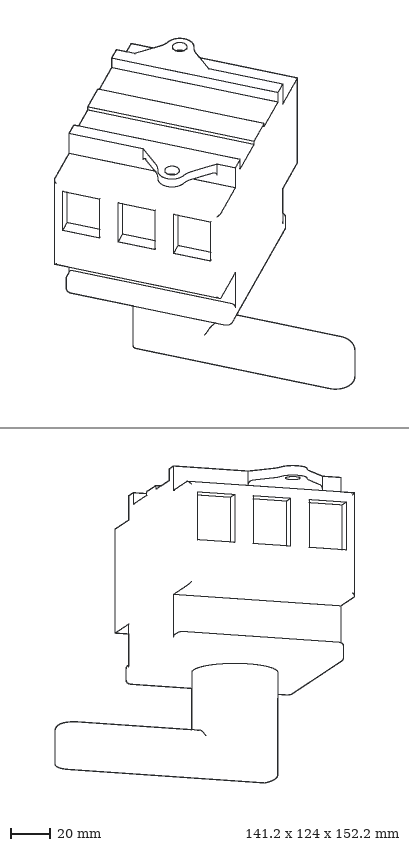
import cadquery as cq

TOTAL_HEIGHT = 152.2
TOTAL_DEPTH = 124.0
TOTAL_LENGTH = 141.2

HANDLE_HEIGHT = 54.8
HOUSING_TOP = TOTAL_HEIGHT - HANDLE_HEIGHT
HOUSING_WIDTH = 90.0
CORE_DEPTH = 74.9
WING_BOTTOM = 30.1
WING_TOP = 84.6
WING_FILLET = 2.0

PLATE_HEIGHT = 9.7
PLATE_CORNER_RADIUS = 3.5
PLATE_FILLET = 2.0

RAIL_HEIGHT = 6.1
RAIL_WIDTH = 7.6
CHANNEL_FLOOR = HOUSING_TOP - RAIL_HEIGHT
RIDGE_WIDTH = 16.0
RIDGE_HEIGHT = 2.0

WINDOW_COUNT = 3
WINDOW_PITCH = 30.0
WINDOW_WIDTH = 20.0
WINDOW_HEIGHT = 25.0
WINDOW_BOTTOM = 54.0
WINDOW_DEPTH = 7.0

LUG_X = 15.0
LUG_HOLE_Y = 50.0
LUG_HOLE_DIAMETER = 7.5
LUG_HEAD_RADIUS = 7.3
LUG_NECK_RADIUS = 10.0
LUG_THICKNESS = 5.0
LUG_ROOT_FILLET = 2.0

HUB_RADIUS = 22.0
SHOULDER_DROP = 15.5
SHOULDER_RADIUS = 8.0
HUB_FILLET = 2.0
GRIP_THICKNESS = 20.0
GRIP_HEIGHT = 21.9
GRIP_TOP_FILLET = 4.0
HANDLE_BOTTOM_FILLET = 1.5


def block(width, depth, bottom, top):
    """Box centred on the Z axis between two heights."""
    return cq.Workplane("XY").workplane(offset=bottom).rect(width, depth).extrude(top - bottom)


def make_housing():
    """Core with two rails and a low ridge on top, and a terminal wing on either side."""
    core = block(HOUSING_WIDTH, CORE_DEPTH, 0, HOUSING_TOP)
    channel = block(HOUSING_WIDTH, CORE_DEPTH - 2 * RAIL_WIDTH, CHANNEL_FLOOR, HOUSING_TOP)
    ridge = block(HOUSING_WIDTH, RIDGE_WIDTH, CHANNEL_FLOOR, CHANNEL_FLOOR + RIDGE_HEIGHT)
    wings = block(HOUSING_WIDTH, TOTAL_DEPTH, WING_BOTTOM, WING_TOP)
    wings = wings.faces("<Y or >Y").edges().fillet(WING_FILLET)
    return core.cut(channel).union(ridge).union(wings)


def make_plate():
    """Square plate with rounded corners; only its bottom edge is left sharp."""
    plate = block(HOUSING_WIDTH, HOUSING_WIDTH, 0, PLATE_HEIGHT)
    plate = plate.edges("|Z").fillet(PLATE_CORNER_RADIUS)
    return plate.faces(">Z").edges().fillet(PLATE_FILLET)


def make_windows():
    """Pockets for the -Y wing end and, mirrored, for the +Y one."""
    centre_z = WINDOW_BOTTOM + WINDOW_HEIGHT / 2
    windows = (
        cq.Workplane("XZ", origin=(0, -TOTAL_DEPTH / 2, centre_z))
        .rarray(WINDOW_PITCH, 1.5, WINDOW_COUNT, 1)
        .rect(WINDOW_WIDTH, WINDOW_HEIGHT)
        .extrude(-WINDOW_DEPTH)
    )
    return windows.union(windows.mirror("XZ"))


def make_lug():
    """Lug on the +Y side: 45 degree flanks blending into a round head with a hole."""
    root_y = CORE_DEPTH / 2
    head_end_y = LUG_HOLE_Y + LUG_HEAD_RADIUS
    half_base = LUG_HEAD_RADIUS + LUG_HOLE_Y - root_y
    underside = HOUSING_TOP - LUG_THICKNESS
    root_bottom = underside - LUG_ROOT_FILLET

    outline = (
        cq.Workplane("XY", origin=(0, 0, root_bottom))
        .moveTo(-half_base, root_y)
        .lineTo(-LUG_HEAD_RADIUS, LUG_HOLE_Y)
        .threePointArc((0, head_end_y), (LUG_HEAD_RADIUS, LUG_HOLE_Y))
        .lineTo(half_base, root_y)
        .close()
        .extrude(HOUSING_TOP - root_bottom)
    )
    outline = outline.edges("|Z").edges(">Y").fillet(LUG_NECK_RADIUS)

    profile = (
        cq.Workplane("YZ")
        .moveTo(root_y, HOUSING_TOP)
        .lineTo(head_end_y, HOUSING_TOP)
        .lineTo(head_end_y, underside)
        .lineTo(root_y + LUG_ROOT_FILLET, underside)
        .radiusArc((root_y, root_bottom), -LUG_ROOT_FILLET)
        .close()
        .extrude(half_base, both=True)
    )
    hole = cq.Workplane("XY", origin=(0, LUG_HOLE_Y, root_bottom)).circle(LUG_HOLE_DIAMETER / 2)
    lug = outline.intersect(profile).cut(hole.extrude(HOUSING_TOP - root_bottom))
    return lug.translate((-LUG_X, 0, 0))


def make_hub():
    """Cylinder waisted to the grip thickness below a concave shoulder on either side."""
    half_grip = GRIP_THICKNESS / 2
    waist = (
        cq.Workplane("YZ")
        .moveTo(HUB_RADIUS, -SHOULDER_DROP)
        .lineTo(half_grip + SHOULDER_RADIUS, -SHOULDER_DROP)
        .radiusArc((half_grip, -SHOULDER_DROP - SHOULDER_RADIUS), -SHOULDER_RADIUS)
        .lineTo(half_grip, -HANDLE_HEIGHT)
        .lineTo(HUB_RADIUS, -HANDLE_HEIGHT)
        .close()
        .extrude(HUB_RADIUS, both=True)
    )
    hub = cq.Workplane("XY").circle(HUB_RADIUS).extrude(-HANDLE_HEIGHT)
    hub = hub.cut(waist).cut(waist.mirror("XZ"))
    rims = hub.edges("not(<Z or >Z)").edges("not(|X)")
    return rims.fillet(HUB_FILLET)


def make_grip():
    """Bar from the hub axis out to a half-round tip."""
    half_grip = GRIP_THICKNESS / 2
    tip_x = TOTAL_LENGTH - HOUSING_WIDTH / 2
    grip = (
        cq.Workplane("XY", origin=(0, 0, -HANDLE_HEIGHT))
        .moveTo(0, -half_grip)
        .lineTo(tip_x - half_grip, -half_grip)
        .threePointArc((tip_x, 0), (tip_x - half_grip, half_grip))
        .lineTo(0, half_grip)
        .close()
        .extrude(GRIP_HEIGHT)
    )
    return grip.faces(">Z").edges("not <X").fillet(GRIP_TOP_FILLET)


lug = make_lug()
switch = make_housing().union(make_plate()).cut(make_windows())
switch = switch.faces("<Z").edges().fillet(PLATE_FILLET)
switch = switch.union(lug).union(lug.rotate((0, 0, 0), (0, 0, 1), 180))

handle = make_hub().union(make_grip())
handle = handle.faces("<Z").edges().fillet(HANDLE_BOTTOM_FILLET)

result = switch.union(handle)